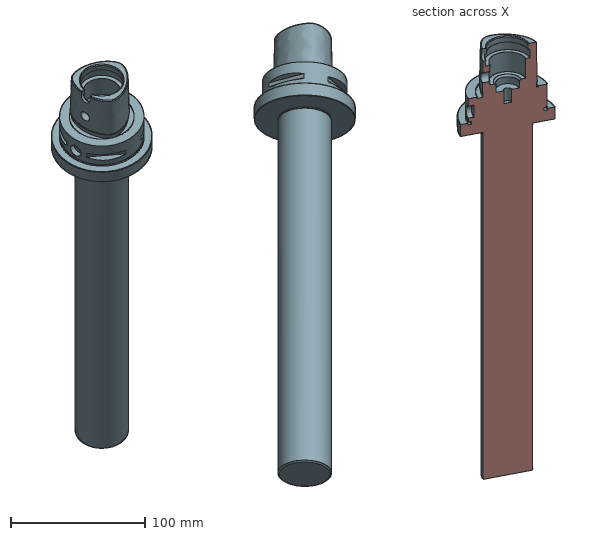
import cadquery as cq
import math

TOTAL_HEIGHT = 370.2
FLANGE_BOTTOM = 300.2
FLANGE_TOP = 311.0
COLLAR_BOTTOM = 311.7
COLLAR_TOP = 332.0
SHANK_BOTTOM = 335.0

SHAFT_DIAMETER = 40.0
RELIEF_DIAMETER = 39.5
RELIEF_HEIGHT = 1.0
SHAFT_CHAMFER = 1.0
FLANGE_DIAMETER = 75.0
FLANGE_CHAMFER = 0.5
COLLAR_DIAMETER = 63.0
COLLAR_CHAMFER = 0.7
GROOVE_DIAMETER = 57.7
GROOVE_DEPTH = 1.5

SHANK_WIDTH = 44.0
SHANK_LOBE = 1.65
SHANK_TAPER = 1 / 20
SHANK_RIM_CHAMFER = 0.7
NECK_INSET = 0.7
OUTLINE_POINTS = 36
RECESS_DIAMETER = 48.0
RECESS_DEPTH = 1.0

MOUTH_DIAMETER = 32.0
MOUTH_CHAMFER = 0.7
MOUTH_DEPTH = 5.0
UNDERCUT_DIAMETER = 34.8
UNDERCUT_DEPTH = 12.5
LAND_DIAMETER = 28.0
LAND_DEPTH = 29.5
POCKET_DIAMETER = 18.0
POCKET_CHAMFER = 1.5
POCKET_DEPTH = 37.0
CENTRE_HOLE_DIAMETER = 6.0
CENTRE_HOLE_DEPTH = 48.0

SIDE_HOLE_DIAMETER = 8.0
SIDE_HOLE_Z = 347.5
SLOT_CENTRE_Z = 366.0
COLLAR_HOLE_DIAMETER = 10.0
COLLAR_HOLE_DEPTH = 4.5

GRIPPER_Z = 320.2
GRIPPER_COUNT = 4
GRIPPER_FLOOR_RADIUS = 27.8
GRIPPER_FLOOR_HEIGHT = 3.7
GRIPPER_MOUTH_HEIGHT = 6.3


def disc(diameter, bottom, top):
    """Round block on the tool axis between two heights."""
    return cq.Workplane("XY").workplane(offset=bottom).circle(diameter / 2).extrude(top - bottom)


def lobed_wire(width, z):
    """Constant-width three-lobed outline, with one lobe pointing along +Y."""
    points = []
    for i in range(OUTLINE_POINTS):
        angle = 2 * math.pi * i / OUTLINE_POINTS
        across = width / 2 * math.sin(angle) + SHANK_LOBE * (2 * math.sin(2 * angle) + math.sin(4 * angle))
        along = -width / 2 * math.cos(angle) + SHANK_LOBE * (2 * math.cos(2 * angle) - math.cos(4 * angle))
        points.append(cq.Vector(across, along, z))
    return cq.Wire.assembleEdges([cq.Edge.makeSpline(points, periodic=True)])


def lobed_solid(bottom_width, bottom, top_width, top):
    """Straight-sided transition between two lobed outlines."""
    wires = [lobed_wire(bottom_width, bottom), lobed_wire(top_width, top)]
    return cq.Workplane(cq.Solid.makeLoft(wires, True))


def turned_body():
    """Shaft, flange, groove and collar."""
    shaft = disc(SHAFT_DIAMETER, 0, FLANGE_BOTTOM - RELIEF_HEIGHT).faces("<Z").chamfer(SHAFT_CHAMFER)
    relief = disc(RELIEF_DIAMETER, FLANGE_BOTTOM - RELIEF_HEIGHT, FLANGE_BOTTOM)
    flange = disc(FLANGE_DIAMETER, FLANGE_BOTTOM, FLANGE_TOP).edges().chamfer(FLANGE_CHAMFER)
    flange_groove = disc(COLLAR_DIAMETER, FLANGE_TOP - GROOVE_DEPTH, FLANGE_TOP)
    groove_core = disc(GROOVE_DIAMETER, FLANGE_TOP - GROOVE_DEPTH, COLLAR_BOTTOM)
    collar = disc(COLLAR_DIAMETER, COLLAR_BOTTOM, COLLAR_TOP).faces("<Z").chamfer(COLLAR_CHAMFER)
    recess = disc(RECESS_DIAMETER, COLLAR_TOP - RECESS_DEPTH, COLLAR_TOP)
    body = shaft.union(relief).union(flange).cut(flange_groove)
    return body.union(groove_core).union(collar).cut(recess)


def shank():
    """Tapered shank with a chamfered rim above an undercut neck."""
    rim_bottom = TOTAL_HEIGHT - SHANK_RIM_CHAMFER
    rim_width = SHANK_WIDTH - SHANK_TAPER * (rim_bottom - SHANK_BOTTOM)
    top_width = rim_width - 2 * SHANK_RIM_CHAMFER
    neck_width = SHANK_WIDTH - 2 * NECK_INSET
    neck = lobed_solid(neck_width, COLLAR_TOP - RECESS_DEPTH, neck_width, SHANK_BOTTOM)
    taper = lobed_solid(SHANK_WIDTH, SHANK_BOTTOM, rim_width, rim_bottom)
    rim = lobed_solid(rim_width, rim_bottom, top_width, TOTAL_HEIGHT)
    return neck.union(taper).union(rim)


def bore():
    """Stepped bore with an internal undercut, built as a half section turned about Z."""
    mouth = MOUTH_DIAMETER / 2
    undercut = UNDERCUT_DIAMETER / 2
    land = LAND_DIAMETER / 2
    pocket = POCKET_DIAMETER / 2
    centre = CENTRE_HOLE_DIAMETER / 2
    profile = [
        (0, 0),
        (mouth + MOUTH_CHAMFER, 0),
        (mouth, MOUTH_CHAMFER),
        (mouth, MOUTH_DEPTH),
        (undercut, MOUTH_DEPTH),
        (undercut, UNDERCUT_DEPTH),
        (land, UNDERCUT_DEPTH),
        (land, LAND_DEPTH),
        (pocket + POCKET_CHAMFER, LAND_DEPTH),
        (pocket, LAND_DEPTH + POCKET_CHAMFER),
        (pocket, POCKET_DEPTH),
        (centre, POCKET_DEPTH),
        (centre, CENTRE_HOLE_DEPTH),
        (0, CENTRE_HOLE_DEPTH),
    ]
    section = [(radius, TOTAL_HEIGHT - depth) for radius, depth in profile]
    return cq.Workplane("XZ").polyline(section).close().revolve(360, (0, 0, 0), (0, 1, 0))


def radial_hole(diameter, z, start, end):
    """Round cutter along -Y between two distances from the tool axis."""
    return cq.Workplane("XZ", origin=(0, -start, z)).circle(diameter / 2).extrude(end - start)


def rim_slot():
    """Round-bottomed slot through the -Y wall, open at the rim."""
    outer = SHANK_WIDTH / 2
    upper_height = TOTAL_HEIGHT - SLOT_CENTRE_Z
    upper = (
        cq.Workplane("XZ", origin=(0, 0, SLOT_CENTRE_Z + upper_height / 2))
        .rect(SIDE_HOLE_DIAMETER, upper_height)
        .extrude(outer)
    )
    return upper.union(radial_hole(SIDE_HOLE_DIAMETER, SLOT_CENTRE_Z, 0, outer))


def gripper_groove(angle):
    """Straight groove with sloping flanks, cut across the collar at an angle from +X."""
    floor = GRIPPER_FLOOR_HEIGHT / 2
    mouth = GRIPPER_MOUTH_HEIGHT / 2
    outer = COLLAR_DIAMETER / 2
    section = [
        (GRIPPER_FLOOR_RADIUS, GRIPPER_Z - floor),
        (outer, GRIPPER_Z - mouth),
        (outer, GRIPPER_Z + mouth),
        (GRIPPER_FLOOR_RADIUS, GRIPPER_Z + floor),
    ]
    cutter = cq.Workplane("XZ").polyline(section).close().extrude(outer, both=True)
    return cutter.rotate((0, 0, 0), (0, 0, 1), angle)


result = turned_body().union(shank()).cut(bore()).cut(rim_slot())
result = result.cut(radial_hole(SIDE_HOLE_DIAMETER, SIDE_HOLE_Z, 0, SHANK_WIDTH / 2))
collar_radius = COLLAR_DIAMETER / 2
result = result.cut(
    radial_hole(COLLAR_HOLE_DIAMETER, GRIPPER_Z, collar_radius - COLLAR_HOLE_DEPTH, collar_radius)
)
for i in range(GRIPPER_COUNT):
    result = result.cut(gripper_groove((i + 0.5) * 360 / GRIPPER_COUNT))